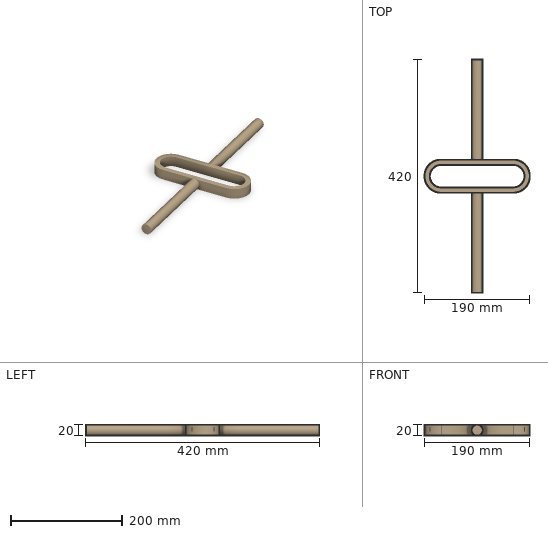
import cadquery as cq

RING_LENGTH = 190.0
RING_WIDTH = 60.0
RING_HEIGHT = 20.0
WALL = 10.0
ROD_DIAMETER = 20.0
OVERALL_SPAN = 420.0

ROD_LENGTH = (OVERALL_SPAN - RING_WIDTH) / 2


def make_ring():
    """Obround ring with a constant wall, centred on the origin."""
    outer = cq.Workplane("XY").slot2D(RING_LENGTH, RING_WIDTH).extrude(RING_HEIGHT / 2, both=True)
    opening = (
        cq.Workplane("XY")
        .slot2D(RING_LENGTH - 2 * WALL, RING_WIDTH - 2 * WALL)
        .extrude(RING_HEIGHT / 2, both=True)
    )
    return outer.cut(opening)


def make_rod(side):
    """Round rod standing on the flat ring face at the given side (+1 or -1) of Y."""
    start = cq.Vector(0, side * RING_WIDTH / 2, 0)
    direction = cq.Vector(0, side, 0)
    return cq.Solid.makeCylinder(ROD_DIAMETER / 2, ROD_LENGTH, start, direction)


result = make_ring()
for rod_side in (-1, 1):
    result = result.union(cq.Workplane(obj=make_rod(rod_side)))